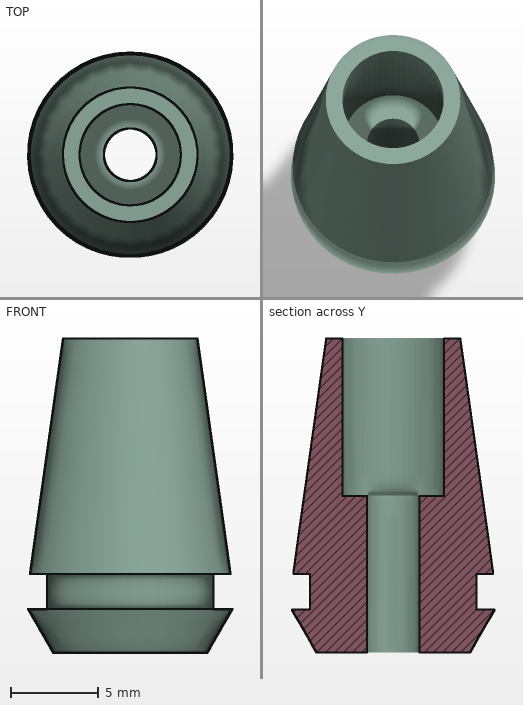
import cadquery as cq
import math

total_height = 18.0
nose_height = 2.5
groove_width = 2.0
body_bottom = nose_height + groove_width
body_height = total_height - body_bottom

nose_angle = 30.0
body_angle = 8.0
rim_radius = 11.7 / 2
groove_radius = 9.55 / 2
body_radius = 11.5 / 2
nose_radius = rim_radius - nose_height * math.tan(math.radians(nose_angle))
top_radius = body_radius - body_height * math.tan(math.radians(body_angle))

bore_radius = 3.0 / 2
counterbore_radius = 5.8 / 2
counterbore_depth = total_height / 2


def outer_body():
    """Solid of revolution: nose cone, groove and long taper."""
    outline = [
        (0, 0),
        (nose_radius, 0),
        (rim_radius, nose_height),
        (groove_radius, nose_height),
        (groove_radius, body_bottom),
        (body_radius, body_bottom),
        (top_radius, total_height),
        (0, total_height),
    ]
    return cq.Workplane("YZ").polyline(outline).close().revolve(360, (0, 0, 0), (0, 1, 0))


def stepped_bore():
    """Through bore with a wider counterbore entering from the top."""
    bore = cq.Workplane("XY").circle(bore_radius).extrude(total_height)
    counterbore = (
        cq.Workplane("XY")
        .workplane(offset=total_height - counterbore_depth)
        .circle(counterbore_radius)
        .extrude(counterbore_depth)
    )
    return bore.union(counterbore)


result = outer_body().cut(stepped_bore())